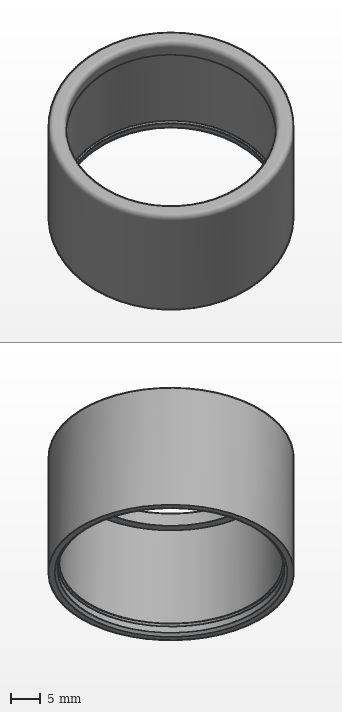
import cadquery as cq

outer_radius = 21.0
height = 24.5
rim_fillet = 1.0

bore_radius = 38.8 / 2
lip_radius = 35.9 / 2
lip_height = 3.0

lead_in = 0.5

bead_radius = 0.3
bead_center_height = 2.05


def cylinder(radius, length):
    """Solid cylinder standing on the XY plane."""
    return cq.Workplane("XY").circle(radius).extrude(length)


sleeve = cylinder(outer_radius, height).cut(cylinder(lip_radius, height))
sleeve = sleeve.faces(">Z").edges().fillet(rim_fillet)
sleeve = sleeve.cut(cylinder(bore_radius, height - lip_height))
sleeve = sleeve.faces("<Z").edges(cq.selectors.RadiusNthSelector(0)).chamfer(lead_in)

bead = (
    cq.Workplane("XZ")
    .center(bore_radius, bead_center_height)
    .circle(bead_radius)
    .revolve(360, (-bore_radius, 0), (-bore_radius, 1))
)

result = sleeve.union(bead)